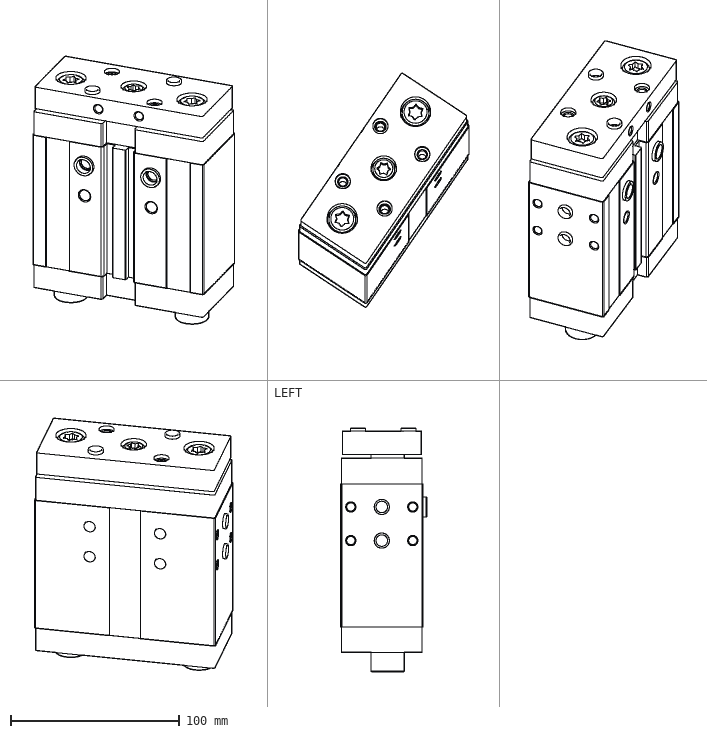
import cadquery as cq
import math

total_height = 144.8
sleeve_protrusion = 1.7
plate_top = total_height - sleeve_protrusion
plate_thickness = 14.0
plate_bottom = plate_top - plate_thickness
plate_gap = 2.0
upper_cap_top = plate_bottom - plate_gap
upper_cap_height = 15.2
body_height = 85.0
lower_cap_height = 15.0
body_top = upper_cap_top - upper_cap_height
body_bottom = body_top - body_height
lower_cap_bottom = body_bottom - lower_cap_height

body_width = 110.0
body_depth = 49.0
body_chamfer = 0.7
cap_inset = 0.5
cap_width = body_width - 2 * cap_inset
cap_depth = body_depth - 2 * cap_inset
plate_inset = 1.0
plate_width = body_width - 2 * plate_inset
plate_depth = body_depth - 2 * plate_inset
corner_radius = 1.0

cap_notch_floor_y = -17.4
cap_notch_width = 20.5
cap_notch_mouth_chamfer = 0.9
notch_floor_y = -18.5
notch_width = 19.1
notch_mouth_chamfer = 1.2
ridge_width = 8.7
ridge_chamfer = 0.5
ridge_front_y = -22.7
recess_depth = 0.5
recess_wall_run = 0.5
recess_inner_x = 31.0
recess_outer_x = 46.6
back_recess_width = 18.8

guide_x = 39.0
guide_y = -3.5
guide_diameter = 20.0
guide_end_chamfer = 0.6
piston_rod_diameter = 12.0
guide_counterbore = 18.0
guide_screw_head = 16.0
guide_star_radius = 4.8
guide_star_turn = 90.0
piston_counterbore = 15.0
piston_screw_head = 13.0
piston_star_radius = 4.0
piston_star_turn = 0.0
star_root_ratio = 0.68
star_points = 6
counterbore_depth = 9.0
screw_recess = 1.0
screw_edge_chamfer = 1.2
star_depth = 3.6

drill_tip_angle = 118.0
thread_diameter = 4.9
thread_chamfer = 0.6
thread_depth = 10.0
small_sleeve_diameter = 9.0
small_sleeve_bore = 6.8
small_sleeve_length = 4.0
small_seat_depth = small_sleeve_length - sleeve_protrusion
large_sleeve_diameter = 12.0
large_sleeve_bore = 8.8
large_sleeve_length = 5.0
large_sleeve_protrusion = 2.3
large_seat_depth = large_sleeve_length - large_sleeve_protrusion
sleeve_rim_height = 0.5

upper_row_z = 98.0
row_pitch = 20.0
lower_row_z = upper_row_z - row_pitch
hole_rows = (upper_row_z, lower_row_z)
front_hole_x = 21.5
front_hole_diameter = 6.8
front_hole_chamfer = 0.6
side_thread_y = 18.4
plate_hole_x = 20.0
plate_hole_pitch_y = 30.0
plate_hole_center_y = -0.9
plate_back_y = plate_hole_center_y + plate_hole_pitch_y / 2
plate_front_y = plate_hole_center_y - plate_hole_pitch_y / 2
plate_thread_x = 13.0
plate_thread_z = 136.0

UP = cq.Vector(0, 0, 1)
DOWN = cq.Vector(0, 0, -1)
INTO_FRONT = cq.Vector(0, 1, 0)
INTO_LEFT = cq.Vector(1, 0, 0)


def box(x_range, y_range, z_range):
    """Axis-aligned block between the given limits."""
    size = [high - low for low, high in (x_range, y_range, z_range)]
    corner = (x_range[0], y_range[0], z_range[0])
    return cq.Workplane("XY").box(*size, centered=False).translate(corner)


def cylinder(start, direction, diameter, length):
    return cq.Workplane(cq.Solid.makeCylinder(diameter / 2, length, cq.Vector(*start), direction))


def countersink(start, direction, diameter, chamfer):
    """Conical edge break around a hole mouth."""
    outer = diameter / 2 + chamfer
    return cq.Workplane(cq.Solid.makeCone(outer, diameter / 2, chamfer, cq.Vector(*start), direction))


def threaded_hole(start, direction):
    """Blind tapped hole with a countersunk mouth and a conical drill tip."""
    radius = thread_diameter / 2
    tip_length = radius / math.tan(math.radians(drill_tip_angle / 2))
    tip_start = cq.Vector(*start) + direction * thread_depth
    tip = cq.Solid.makeCone(radius, 0, tip_length, tip_start, direction)
    hole = cylinder(start, direction, thread_diameter, thread_depth)
    return hole.union(tip).union(countersink(start, direction, thread_diameter, thread_chamfer))


def rounded_block(width, depth, bottom, top):
    block = box((-width / 2, width / 2), (-depth / 2, depth / 2), (bottom, top))
    return block.edges("|Z").fillet(corner_radius)


def notch(width, mouth_chamfer, floor_y, front_y, bottom, top):
    """Vertical channel with chamfered mouth, open to the front."""
    half = width / 2
    outline = [
        (half, floor_y),
        (half, front_y + mouth_chamfer),
        (half + mouth_chamfer, front_y),
        (-half - mouth_chamfer, front_y),
        (-half, front_y + mouth_chamfer),
        (-half, floor_y),
    ]
    return cq.Workplane("XY").workplane(offset=bottom).polyline(outline).close().extrude(top - bottom)


def guide_shafts():
    """Both guide rods at full length, also used as their clearance in the housing."""
    shafts = cylinder((-guide_x, guide_y, 0), UP, guide_diameter, plate_bottom)
    return shafts.union(cylinder((guide_x, guide_y, 0), UP, guide_diameter, plate_bottom))


def piston_rod():
    """Piston rod from the plate down to the lower cap."""
    return cylinder((0, 0, body_bottom), UP, piston_rod_diameter, plate_bottom - body_bottom)


def make_cap(bottom, top):
    """Bearing cap with the front notch and the rod passages."""
    cap = rounded_block(cap_width, cap_depth, bottom, top)
    front_y = -cap_depth / 2
    channel = notch(cap_notch_width, cap_notch_mouth_chamfer, cap_notch_floor_y, front_y, bottom, top)
    cap = cap.cut(channel)
    return cap.cut(guide_shafts()).cut(piston_rod())


def shallow_recess(front_y):
    """Shallow full-height recess with sloping walls on the right half of the front face."""
    floor_y = front_y + recess_depth
    outline = [
        (recess_inner_x, front_y),
        (recess_outer_x, front_y),
        (recess_outer_x - recess_wall_run, floor_y),
        (recess_inner_x + recess_wall_run, floor_y),
    ]
    return cq.Workplane("XY").workplane(offset=body_bottom).polyline(outline).close().extrude(body_height)


def profile_housing():
    """Extruded body outline: chamfered corners, notch with ridge, shallow recesses."""
    front_y = -body_depth / 2
    back_y = body_depth / 2
    heights = (body_bottom, body_top)
    body = box((-body_width / 2, body_width / 2), (front_y, back_y), heights)
    body = body.edges("|Z").chamfer(body_chamfer)
    body = body.cut(notch(notch_width, notch_mouth_chamfer, notch_floor_y, front_y, *heights))
    ridge = box((-ridge_width / 2, ridge_width / 2), (ridge_front_y, notch_floor_y), heights)
    body = body.union(ridge.faces("<Y").edges("|Z").chamfer(ridge_chamfer))
    recess = shallow_recess(front_y)
    body = body.cut(recess).cut(recess.mirror("YZ"))
    half_recess = back_recess_width / 2
    return body.cut(box((-half_recess, half_recess), (back_y - recess_depth, back_y), heights))


def make_housing():
    front_y = -body_depth / 2
    left_x = -body_width / 2
    housing = profile_housing().cut(guide_shafts()).cut(piston_rod())

    for x in (-front_hole_x, front_hole_x):
        for z in hole_rows:
            housing = housing.cut(cylinder((x, front_y, z), INTO_FRONT, front_hole_diameter, body_depth))
            seat_depth = large_seat_depth if z == upper_row_z else 0
            mouth = (x, front_y + seat_depth, z)
            housing = housing.cut(countersink(mouth, INTO_FRONT, front_hole_diameter, front_hole_chamfer))
        seat = (x, front_y, upper_row_z)
        housing = housing.cut(cylinder(seat, INTO_FRONT, large_sleeve_diameter, large_seat_depth))

    for z in hole_rows:
        housing = housing.cut(cylinder((left_x, 0, z), INTO_LEFT, small_sleeve_diameter, small_seat_depth))
        for y in (-side_thread_y, side_thread_y):
            housing = housing.cut(threaded_hole((left_x, y, z), INTO_LEFT))
    return housing


def screw_end(x, y, counterbore, head, star_radius, star_turn):
    """Counterbore and star-drive screw head: returns the pocket and the head that stands in it."""
    pocket = cylinder((x, y, plate_top), DOWN, counterbore, counterbore_depth)
    head_height = counterbore_depth - screw_recess
    screw = cylinder((x, y, plate_top - counterbore_depth), UP, head, head_height)
    screw = screw.faces(">Z").edges().chamfer(screw_edge_chamfer)
    outline = []
    for index in range(2 * star_points):
        radius = star_radius if index % 2 == 0 else star_radius * star_root_ratio
        angle = math.radians(star_turn) + index * math.pi / star_points
        outline.append((x + radius * math.cos(angle), y + radius * math.sin(angle)))
    head_top = plate_top - screw_recess
    star = cq.Workplane("XY").workplane(offset=head_top).polyline(outline).close().extrude(-star_depth)
    return pocket, screw.cut(star)


def make_slide():
    """Moving unit: front plate with its guide rods, piston rod and clamped screws."""
    slide = rounded_block(plate_width, plate_depth, plate_bottom, plate_top)
    slide = slide.union(guide_shafts().faces("<Z").edges().chamfer(guide_end_chamfer)).union(piston_rod())
    screws = (
        (-guide_x, guide_y, guide_counterbore, guide_screw_head, guide_star_radius, guide_star_turn),
        (guide_x, guide_y, guide_counterbore, guide_screw_head, guide_star_radius, guide_star_turn),
        (0, 0, piston_counterbore, piston_screw_head, piston_star_radius, piston_star_turn),
    )
    for screw in screws:
        pocket, head = screw_end(*screw)
        slide = slide.cut(pocket).union(head)

    for x in (-plate_hole_x, plate_hole_x):
        for y in (plate_front_y, plate_back_y):
            seat_floor = (x, y, plate_top - small_seat_depth)
            through = plate_thickness - small_seat_depth
            slide = slide.cut(cylinder((x, y, plate_top), DOWN, small_sleeve_diameter, small_seat_depth))
            slide = slide.cut(cylinder(seat_floor, DOWN, thread_diameter, through))
            slide = slide.cut(countersink(seat_floor, DOWN, thread_diameter, thread_chamfer))

    for x in (-plate_thread_x, plate_thread_x):
        slide = slide.cut(threaded_hole((x, -plate_depth / 2, plate_thread_z), INTO_FRONT))
    return slide


def make_sleeve(seat, outward, diameter, bore, length):
    """Centring sleeve standing on its seat, with an arched rim at the free end."""
    inner = bore / 2
    outer = diameter / 2
    shoulder = length - sleeve_rim_height
    seat_plane = cq.Plane(origin=seat, normal=outward)
    upright_plane = cq.Plane(origin=seat, xDir=seat_plane.xDir, normal=seat_plane.xDir.cross(outward))
    section = (
        cq.Workplane(upright_plane)
        .moveTo(inner, 0)
        .lineTo(outer, 0)
        .lineTo(outer, shoulder)
        .threePointArc(((inner + outer) / 2, length), (inner, shoulder))
        .close()
    )
    return section.revolve(360, (0, 0, 0), (0, 1, 0))


def make_small_sleeve(seat, outward):
    return make_sleeve(seat, outward, small_sleeve_diameter, small_sleeve_bore, small_sleeve_length)


def make_large_sleeve(seat, outward):
    return make_sleeve(seat, outward, large_sleeve_diameter, large_sleeve_bore, large_sleeve_length)


housing = make_housing()
lower_cap = make_cap(lower_cap_bottom, body_bottom)
upper_cap = make_cap(body_top, upper_cap_top)
slide = make_slide()

plate_sleeves = []
for x, y in ((-plate_hole_x, plate_front_y), (plate_hole_x, plate_back_y)):
    plate_sleeves.append(make_small_sleeve((x, y, plate_top - small_seat_depth), UP))

side_sleeves = []
for z in hole_rows:
    side_sleeves.append(make_small_sleeve((-body_width / 2 + small_seat_depth, 0, z), -INTO_LEFT))

front_sleeves = []
for x in (-front_hole_x, front_hole_x):
    seat = (x, -body_depth / 2 + large_seat_depth, upper_row_z)
    front_sleeves.append(make_large_sleeve(seat, -INTO_FRONT))

bodies = [housing, lower_cap, upper_cap, slide, *plate_sleeves, *side_sleeves, *front_sleeves]
result = cq.Compound.makeCompound([body.solids().val() for body in bodies])